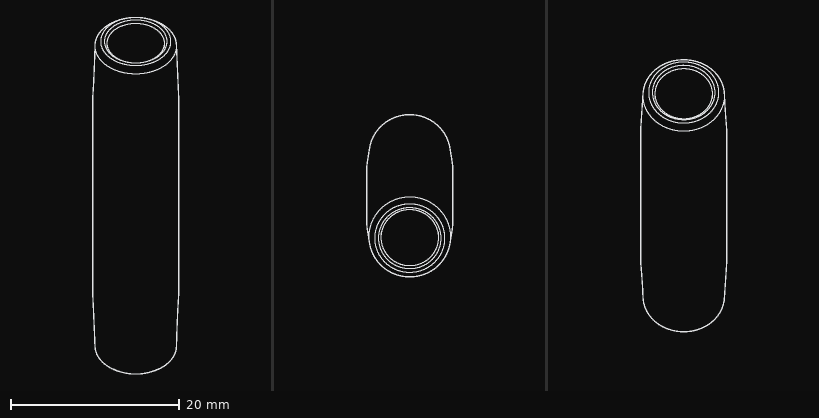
import cadquery as cq

length = 50.8
outer_diameter = 10.287
bore_diameter = 6.83
taper_length = 9.53
taper_ratio = 1 / 16
outer_chamfer = 0.7
bore_chamfer = 0.3

half_length = length / 2
barrel_radius = outer_diameter / 2
bore_radius = bore_diameter / 2
tapered_run = taper_length - outer_chamfer
taper_end_radius = barrel_radius - tapered_run * taper_ratio / 2


def tube_wall():
    """Half section of the wall in the XZ plane, upper half mirrored to the lower end."""
    upper_half = [
        (barrel_radius, half_length - taper_length),
        (taper_end_radius, half_length - outer_chamfer),
        (taper_end_radius - outer_chamfer, half_length),
        (bore_radius + bore_chamfer, half_length),
        (bore_radius, half_length - bore_chamfer),
    ]
    lower_half = [(radius, -z) for radius, z in reversed(upper_half)]
    return cq.Workplane("XZ").polyline(upper_half + lower_half).close()


result = tube_wall().revolve(360, (0, 0, 0), (0, 1, 0))